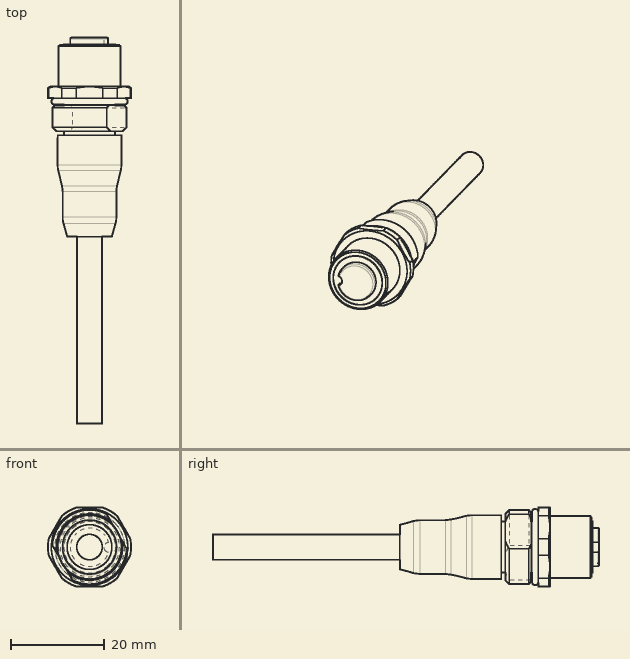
import cadquery as cq
import math

total_length = 83.0
tip_y = total_length / 2

shoulder_face = 1.4
shell_face = 1.6
nut_start = 10.45
nut_end = 13.0
seal_end = 14.45
collar_start = 14.6
collar_end = 20.2
boot_start = 21.0
upper_taper_start = 28.0
upper_taper_end = 32.45
lower_taper_start = 39.3
boot_end = 42.8

nose_diameter = 8.3
neck_diameter = 11.0
shell_diameter = 13.4
nut_corner_diameter = 17.9
seal_diameter = 16.4
collar_diameter = 15.9
boot_diameter = 13.8
grip_diameter = 11.6
boot_end_diameter = 9.6
cable_diameter = 5.5

nut_across_flats = 17.0
nut_chamfer_length = 0.4
nut_chamfer_depth = 0.7
collar_across_flats = 13.45
collar_flat_angle = 30.0
collar_front_chamfer = 0.5
collar_rear_chamfer = 0.8
nose_fillet = 0.3
keyway_diameter = 2.15
shell_chamfer = 0.3
boot_blend_radius = 5.0
selection_margin = 0.8


def cylinder(diameter, start, end):
    """Cylinder on the Y axis between two distances from the nose tip."""
    plane = cq.Workplane("XZ", origin=(0, tip_y - start, 0))
    return plane.circle(diameter / 2).extrude(end - start)


def make_nose():
    """Round-edged nose with a half-round keyway on its +X side."""
    nose = cylinder(nose_diameter, 0, shell_face).faces(">Y").edges().fillet(nose_fillet)
    keyway = cylinder(keyway_diameter, 0, shoulder_face).translate((nose_diameter / 2, 0, 0))
    return nose.cut(keyway)


def make_shell():
    return cylinder(shell_diameter, shell_face, nut_start).faces(">Y").edges().chamfer(shell_chamfer)


def make_nut():
    """Hexagon with flats facing +Z and -Z and corners turned to a cylinder, chamfered in front."""
    length = nut_end - nut_start
    hexagon = (
        cq.Workplane("XZ", origin=(0, tip_y - nut_start, 0))
        .polygon(6, nut_across_flats / math.cos(math.pi / 6))
        .extrude(length)
    )
    turned = cylinder(nut_corner_diameter, nut_start, nut_end)
    turned = turned.faces(">Y").edges().chamfer(nut_chamfer_length, nut_chamfer_depth)
    return hexagon.intersect(turned)


def make_seal():
    """Sealing ring with a half-round rim, seated against the nut and filled to the axis."""
    section_radius = (seal_end - nut_end) / 2
    rim_edge_radius = seal_diameter / 2 - section_radius
    front_y = tip_y - nut_end
    rear_y = tip_y - seal_end
    return (
        cq.Workplane("XY")
        .moveTo(0, front_y)
        .lineTo(rim_edge_radius, front_y)
        .threePointArc((seal_diameter / 2, (front_y + rear_y) / 2), (rim_edge_radius, rear_y))
        .lineTo(0, rear_y)
        .close()
        .revolve(360, (0, 0, 0), (0, 1, 0))
    )


def make_collar():
    """Chamfered round collar with two opposite wrench flats."""
    length = collar_end - collar_start
    collar = cylinder(collar_diameter, collar_start, collar_end)
    collar = collar.faces(">Y").edges().chamfer(collar_front_chamfer)
    collar = collar.faces("<Y").edges().chamfer(collar_rear_chamfer)
    between_flats = (
        cq.Workplane("XZ", origin=(0, tip_y - collar_start, 0))
        .rect(collar_across_flats, collar_diameter)
        .extrude(length)
        .rotate((0, 0, 0), (0, 1, 0), -collar_flat_angle)
    )
    return collar.intersect(between_flats)


def make_boot():
    """Moulded boot with two tapers blended into its cylindrical stretches."""
    outline = [
        (0, boot_start),
        (boot_diameter / 2, boot_start),
        (boot_diameter / 2, upper_taper_start),
        (grip_diameter / 2, upper_taper_end),
        (grip_diameter / 2, lower_taper_start),
        (boot_end_diameter / 2, boot_end),
        (0, boot_end),
    ]
    boot = (
        cq.Workplane("XY")
        .polyline([(radius, tip_y - distance) for radius, distance in outline])
        .close()
        .revolve(360, (0, 0, 0), (0, 1, 0))
    )
    highest_blend = tip_y - upper_taper_start
    lowest_blend = tip_y - lower_taper_start
    blend_zone = cq.selectors.BoxSelector(
        (-boot_diameter, lowest_blend - selection_margin, -boot_diameter),
        (boot_diameter, highest_blend + selection_margin, boot_diameter),
    )
    return boot.edges("%CIRCLE").edges(blend_zone).fillet(boot_blend_radius)


shoulder = cylinder(neck_diameter, shoulder_face, nut_start)
neck = cylinder(neck_diameter, seal_end, boot_start)
cable = cylinder(cable_diameter, boot_end, total_length)

result = make_nose()
for section in (shoulder, make_shell(), make_nut(), make_seal(), make_collar(), neck, make_boot(), cable):
    result = result.union(section)